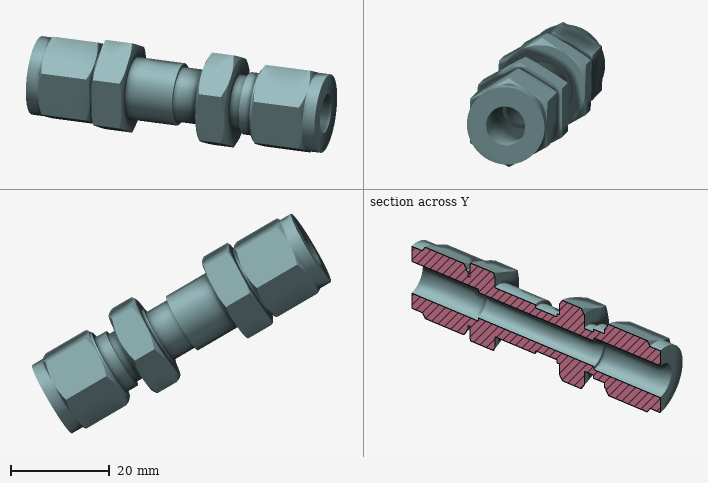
import cadquery as cq
import math

total_length = 61.0

cap_diameter = 16.05
cap_length = 2.55
nut_across_flats = 16.0
nut_length = 10.9
collar_diameter = 15.25
collar_length = 0.35

body_hex_start = 14.15
body_hex_length = 6.3
body_hex_across_flats = 17.45
body_hex_left_face_diameter = 18.6
body_hex_right_face_diameter = 18.05

body_diameter = 12.75
neck_diameter = 11.15
neck_start = 30.4
neck_end = 44.5

locknut_start = 36.1
locknut_length = 6.2
locknut_across_flats = 18.0
washer_face_length = 0.55

bore_diameter = 6.4
socket_diameter = 8.05
socket_depth = 16.2

nut_bevel_angle = 30.0
body_hex_bevel_angle = 20.0


def cylinder(start, length, diameter):
    return cq.Workplane("YZ", origin=(start, 0, 0)).circle(diameter / 2).extrude(length)


def bevelled_hex(start, length, across_flats, left_face_diameter, right_face_diameter, angle):
    """Hexagonal prism with corners up and down, turned conically at both ends."""
    corner_radius = across_flats / math.sqrt(3)
    prism = (
        cq.Workplane("YZ", origin=(start, 0, 0))
        .polygon(6, 2 * corner_radius)
        .extrude(length)
        .rotate((0, 0, 0), (1, 0, 0), 90)
    )
    left_radius = left_face_diameter / 2
    right_radius = right_face_diameter / 2
    slope = math.tan(math.radians(angle))
    end = start + length
    ridge_radius = (length / slope + left_radius + right_radius) / 2
    ridge_position = start + (ridge_radius - left_radius) * slope
    envelope = (
        cq.Workplane("XY")
        .moveTo(start, 0)
        .lineTo(start, left_radius)
        .lineTo(ridge_position, ridge_radius)
        .lineTo(end, right_radius)
        .lineTo(end, 0)
        .close()
        .revolve(360, (0, 0, 0), (1, 0, 0))
    )
    return prism.intersect(envelope)


def compression_nut():
    """Nut for the left end: lip, hexagon and rear collar."""
    lip = cylinder(0, cap_length, cap_diameter)
    hexagon = bevelled_hex(
        cap_length, nut_length, nut_across_flats, nut_across_flats, nut_across_flats, nut_bevel_angle
    )
    collar = cylinder(cap_length + nut_length, collar_length, collar_diameter)
    return lip.union(hexagon).union(collar)


def body():
    left_barrel = cylinder(cap_length, neck_start - cap_length, body_diameter)
    neck = cylinder(neck_start, neck_end - neck_start, neck_diameter)
    right_barrel = cylinder(neck_end, total_length - cap_length - neck_end, body_diameter)
    hexagon = bevelled_hex(
        body_hex_start,
        body_hex_length,
        body_hex_across_flats,
        body_hex_left_face_diameter,
        body_hex_right_face_diameter,
        body_hex_bevel_angle,
    )
    return left_barrel.union(neck).union(right_barrel).union(hexagon)


def locknut():
    hexagon = bevelled_hex(
        locknut_start,
        locknut_length,
        locknut_across_flats,
        locknut_across_flats,
        locknut_across_flats,
        nut_bevel_angle,
    )
    washer_face = cylinder(locknut_start - washer_face_length, washer_face_length, body_diameter)
    return hexagon.union(washer_face)


def passage():
    """Through bore with a wider tube socket at each end."""
    bore = cylinder(0, total_length, bore_diameter)
    left_socket = cylinder(0, socket_depth, socket_diameter)
    right_socket = cylinder(total_length - socket_depth, socket_depth, socket_diameter)
    return bore.union(left_socket).union(right_socket)


left_nut = compression_nut()
right_nut = left_nut.mirror("YZ", (total_length / 2, 0, 0))

result = body().union(locknut()).union(left_nut).union(right_nut).cut(passage())